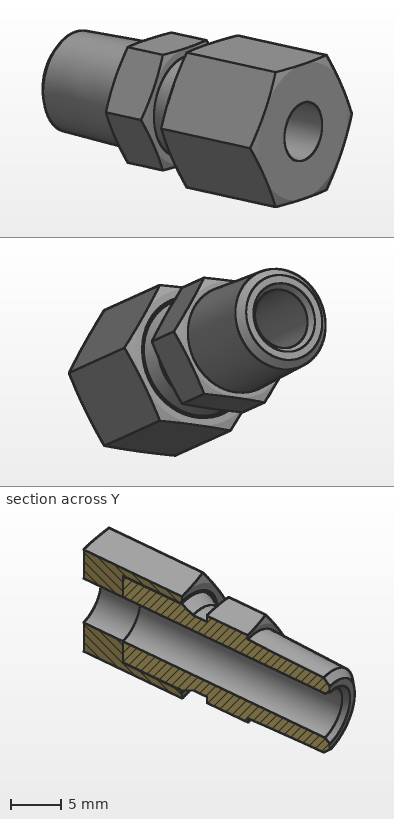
import cadquery as cq
import math

total_length = 30.0
bore_diameter = 6.0

stud_length = 10.0
stud_tip_radius = 4.35
stud_chamfer_length = 0.75
stud_start_radius = 5.15
stud_end_radius = 5.45
bore_mouth_radius = 3.5
bore_mouth_depth = 0.6

body_hex_flats = 12.0
body_hex_length = 5.0

neck_radius = 5.2
neck_length = 1.65
shank_diameter = 12.0
shank_cone_angle = 30.0
shank_depth_in_nut = 7.2

nut_flats = 14.0
nut_length = 12.0
socket_mouth_radius = 6.25

hex_sides = 6
hex_chamfer_angle = 15.0

shank_radius = shank_diameter / 2
bore_radius = bore_diameter / 2
body_hex_end = stud_length + body_hex_length
neck_end = body_hex_end + neck_length
cone_length = (shank_radius - neck_radius) / math.tan(math.radians(shank_cone_angle))
cone_end = neck_end + cone_length
nut_start = total_length - nut_length
shank_end = nut_start + shank_depth_in_nut


def revolve_about_axis(profile_points):
    """Solid of revolution about X from (x, radius) points."""
    return cq.Workplane("XY").polyline(profile_points).close().revolve(360, (0, 0, 0), (1, 0, 0))


def cylinder_along_x(radius, start, end):
    return cq.Workplane("YZ").workplane(offset=start).circle(radius).extrude(end - start)


def chamfered_hexagon(flats, start, length):
    """Hexagonal prism along X, flats facing up and down, corners chamfered at both ends."""
    flat_radius = flats / 2
    corner_radius = flat_radius / math.cos(math.pi / hex_sides)
    chamfer_depth = (corner_radius - flat_radius) * math.tan(math.radians(hex_chamfer_angle))
    end = start + length
    prism = cq.Workplane("YZ").workplane(offset=start).polygon(hex_sides, 2 * corner_radius).extrude(length)
    chamfer_envelope = revolve_about_axis([
        (start, 0),
        (start, flat_radius),
        (start + chamfer_depth, corner_radius),
        (end - chamfer_depth, corner_radius),
        (end, flat_radius),
        (end, 0),
    ])
    return prism.intersect(chamfer_envelope)


def make_body():
    """Tapered stud, hexagon, neck and threaded shank with a through bore."""
    turned_shape = revolve_about_axis([
        (0, 0),
        (0, stud_tip_radius),
        (stud_chamfer_length, stud_start_radius),
        (stud_length, stud_end_radius),
        (stud_length, neck_radius),
        (neck_end, neck_radius),
        (cone_end, shank_radius),
        (shank_end, shank_radius),
        (shank_end, 0),
    ])
    hexagon = chamfered_hexagon(body_hex_flats, stud_length, body_hex_length)
    bore = revolve_about_axis([
        (0, 0),
        (0, bore_mouth_radius),
        (bore_mouth_depth, bore_radius),
        (shank_end, bore_radius),
        (shank_end, 0),
    ])
    return turned_shape.union(hexagon).cut(bore)


def make_nut():
    """Hexagonal nut with a chamfered socket for the shank and a hole continuing the bore."""
    hexagon = chamfered_hexagon(nut_flats, nut_start, nut_length)
    mouth_depth = socket_mouth_radius - shank_radius
    socket = revolve_about_axis([
        (nut_start, 0),
        (nut_start, socket_mouth_radius),
        (nut_start + mouth_depth, shank_radius),
        (shank_end, shank_radius),
        (shank_end, 0),
    ])
    tube_hole = cylinder_along_x(bore_radius, shank_end, total_length)
    return hexagon.cut(socket).cut(tube_hole)


body = make_body()
nut = make_nut()

result = cq.Compound.makeCompound([body.val(), nut.val()])